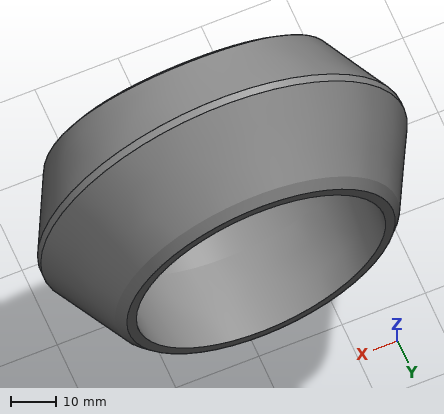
import cadquery as cq

rim_radius = 44.05
rim_width = 1.85
rim_back_depth = 21.0
rim_front_depth = rim_back_depth + rim_width

land_radius = 32.25
bevel_radius = 34.2
bevel_depth = 2.0

front_taper = 0.5
cone_end_depth = 47.6
cone_end_radius = rim_radius - front_taper * (cone_end_depth - rim_front_depth)

bore_radius = 32.5
back_bore_radius = 30.0
bore_taper_depth = 21.0

pipe_radius = 141.0
saddle_depth = 38.2
saddle_edge_chamfer = 1.4


def revolve_about_y(profile):
    """Revolve (radius, depth) points about the Y axis."""
    points = [(radius, -depth) for radius, depth in profile]
    return cq.Workplane("XY").polyline(points).close().revolve(360, (0, 0, 0), (0, 1, 0))


def make_body():
    return revolve_about_y([
        (0, 0),
        (land_radius, 0),
        (bevel_radius, bevel_depth),
        (rim_radius, rim_back_depth),
        (rim_radius, rim_front_depth),
        (cone_end_radius, cone_end_depth),
        (0, cone_end_depth),
    ])


def make_pipe():
    return (
        cq.Workplane("XY", origin=(0, 0, -rim_radius))
        .center(0, -saddle_depth - pipe_radius)
        .circle(pipe_radius)
        .extrude(2 * rim_radius)
    )


def make_bore():
    return revolve_about_y([
        (0, 0),
        (back_bore_radius, 0),
        (bore_radius, bore_taper_depth),
        (bore_radius, cone_end_depth),
        (0, cone_end_depth),
    ])


saddled_body = make_body().cut(make_pipe())
beveled_body = saddled_body.faces("<Y").edges().chamfer(saddle_edge_chamfer)
result = beveled_body.cut(make_bore())